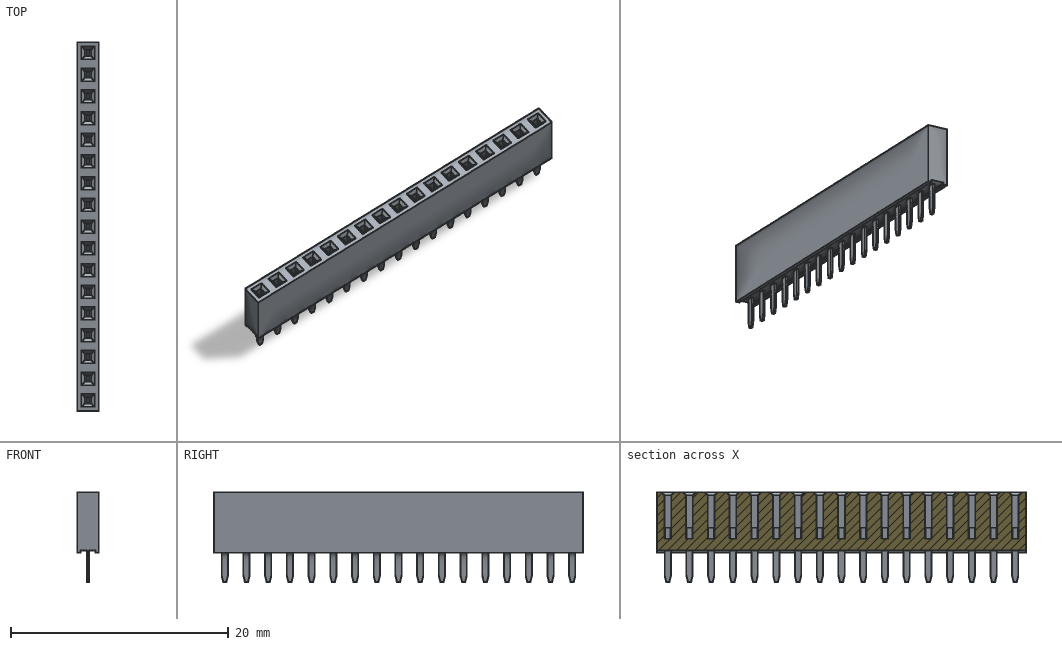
import cadquery as cq


contact_count = 17
pitch = 2.0
housing_width = 2.0
housing_length = contact_count * pitch
overall_height = 8.3
pin_reach = 2.7
housing_height = overall_height - pin_reach

foot_width = 0.33
channel_depth = 0.2
channel_width = housing_width - 2 * foot_width

funnel_mouth = 1.2
funnel_throat = 0.6
funnel_depth = (funnel_mouth - funnel_throat) / 2
shaft_depth = 4.0

blade_thickness = 0.2
blade_width = 0.6
tip_width = 0.3
tip_length = 0.6
tongue_width = 0.5
tongue_height = 1.0

shaft_floor = housing_height - funnel_depth - shaft_depth
contact_positions = [(0, (i - (contact_count - 1) / 2) * pitch) for i in range(contact_count)]


def make_housing():
    """Rectangular bar with an open channel along its underside."""
    bar = cq.Workplane("XY").box(
        housing_width, housing_length, housing_height, centered=(True, True, False)
    )
    channel = cq.Workplane("XY").box(
        channel_width, housing_length, channel_depth, centered=(True, True, False)
    )
    return bar.cut(channel)


def make_socket():
    """Void of one socket, centred on the Z axis."""
    funnel = (
        cq.Workplane("XY", origin=(0, 0, housing_height))
        .rect(funnel_mouth, funnel_mouth)
        .workplane(offset=-funnel_depth)
        .rect(funnel_throat, funnel_throat)
        .loft(combine=True)
    )
    shaft = cq.Workplane("XY", origin=(0, 0, shaft_floor)).box(
        funnel_throat, funnel_throat, shaft_depth, centered=(True, True, False)
    )
    return funnel.union(shaft)


def make_contact():
    """One flat contact: tapered pin below, narrow tongue standing in the shaft."""
    shoulder = tip_length - pin_reach
    tongue_top = shaft_floor + tongue_height
    right_side = [
        (tip_width / 2, -pin_reach),
        (blade_width / 2, shoulder),
        (blade_width / 2, shaft_floor),
        (tongue_width / 2, shaft_floor),
        (tongue_width / 2, tongue_top),
    ]
    left_side = [(-y, z) for y, z in reversed(right_side)]
    return (
        cq.Workplane("YZ")
        .polyline(right_side + left_side)
        .close()
        .extrude(blade_thickness / 2, both=True)
    )


def at_each_contact(feature):
    """Copies of a feature at every contact position."""
    copies = cq.Workplane("XY").pushPoints(contact_positions)
    return copies.eachpoint(lambda place: feature.val().moved(place))


result = (
    make_housing()
    .cut(at_each_contact(make_socket()))
    .union(at_each_contact(make_contact()))
)